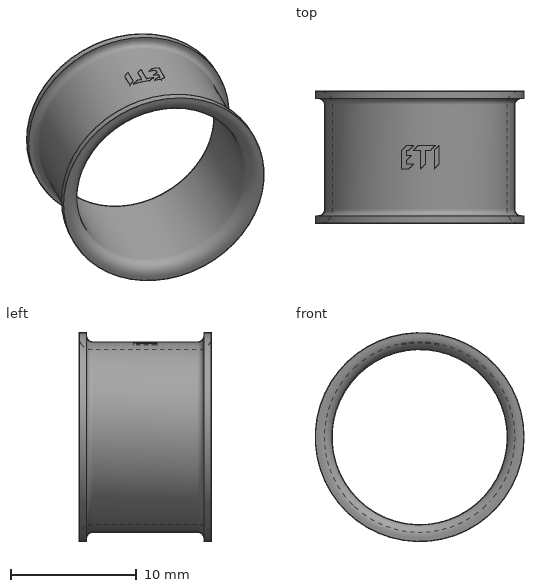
import cadquery as cq
import math

flange_radius = 8.3
bore_radius = 6.95
barrel_radius = 7.57
sleeve_length = 10.5
flange_thickness = 0.6
mouth_round = 1.0
flange_fillet = 0.5

inlay_depth = 0.1
letter_height = 1.86
stroke = 0.38
e_left = -1.43
e_width = 0.95
e_middle_width = 0.78
e_middle_top = 0.13
t_left = -0.5
t_width = 1.75
t_stem_left = 0.08
i_left = 1.16

half_length = sleeve_length / 2
letter_top = letter_height / 2
letter_bottom = -letter_top
bar_bottom = letter_top - stroke
foot_top = letter_bottom + stroke


def make_sleeve_blank():
    """Tube with two flanges, revolved about the Y axis."""
    flange_inner = half_length - flange_thickness
    mouth_start = half_length - mouth_round
    fillet_start = flange_inner - flange_fillet
    diagonal = math.sqrt(0.5)
    mouth_center = bore_radius + mouth_round
    mouth_mid_radius = mouth_center - mouth_round * diagonal
    mouth_mid_y = mouth_start + mouth_round * diagonal
    fillet_center = barrel_radius + flange_fillet
    fillet_mid_radius = fillet_center - flange_fillet * diagonal
    fillet_mid_y = fillet_start + flange_fillet * diagonal
    return (
        cq.Workplane("XY")
        .moveTo(bore_radius, -mouth_start)
        .lineTo(bore_radius, mouth_start)
        .threePointArc((mouth_mid_radius, mouth_mid_y), (mouth_center, half_length))
        .lineTo(flange_radius, half_length)
        .lineTo(flange_radius, flange_inner)
        .lineTo(fillet_center, flange_inner)
        .threePointArc((fillet_mid_radius, fillet_mid_y), (barrel_radius, fillet_start))
        .lineTo(barrel_radius, -fillet_start)
        .threePointArc((fillet_mid_radius, -fillet_mid_y), (fillet_center, -flange_inner))
        .lineTo(flange_radius, -flange_inner)
        .lineTo(flange_radius, -half_length)
        .lineTo(mouth_center, -half_length)
        .threePointArc((mouth_mid_radius, -mouth_mid_y), (bore_radius, -mouth_start))
        .close()
        .revolve(360, (0, 0, 0), (0, 1, 0))
    )


def make_inlay(outline):
    """Letter of the given XY outline, cut from the outermost layer of the barrel's top."""
    layer = (
        cq.Workplane("XZ")
        .circle(barrel_radius)
        .circle(barrel_radius - inlay_depth)
        .extrude(letter_height, both=True)
    )
    prism = cq.Workplane("XY").polyline(outline).close().extrude(flange_radius)
    return prism.intersect(layer)


def make_letter_e():
    stem_right = e_left + stroke
    right = e_left + e_width
    middle_right = e_left + e_middle_width
    return make_inlay([
        (e_left, letter_bottom),
        (right - stroke, letter_bottom),
        (right, foot_top),
        (stem_right, foot_top),
        (stem_right, e_middle_top - (middle_right - stem_right)),
        (middle_right, e_middle_top),
        (stem_right, e_middle_top),
        (stem_right, bar_bottom),
        (right - stroke, bar_bottom),
        (right, letter_top),
        (e_left + stroke, letter_top),
        (e_left, bar_bottom),
    ])


def make_letter_t():
    right = t_left + t_width
    stem_right = t_stem_left + stroke
    return make_inlay([
        (t_left, bar_bottom),
        (t_stem_left, bar_bottom),
        (t_stem_left, letter_bottom),
        (stem_right, foot_top),
        (stem_right, bar_bottom),
        (right - stroke, bar_bottom),
        (right, letter_top),
        (t_left + stroke, letter_top),
    ])


def make_letter_i():
    right = i_left + stroke
    return make_inlay([
        (i_left, letter_bottom),
        (right, foot_top),
        (right, letter_top),
        (i_left, bar_bottom),
    ])


letter_e = make_letter_e()
letter_t = make_letter_t()
letter_i = make_letter_i()

sleeve = make_sleeve_blank()
for letter in (letter_e, letter_t, letter_i):
    sleeve = sleeve.cut(letter)

result = cq.Compound.makeCompound([
    sleeve.solids().val(),
    letter_e.solids().val(),
    letter_t.solids().val(),
    letter_i.solids().val(),
])